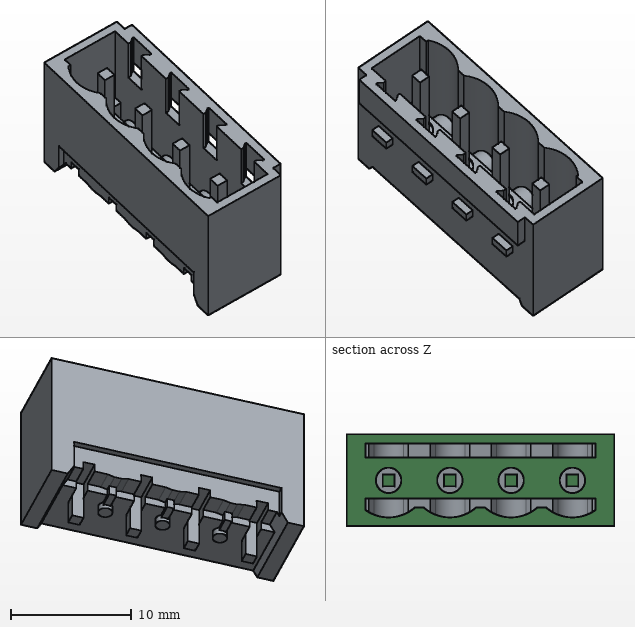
import cadquery as cq
import math


pole_count = 4
pole_pitch = 5.09
pole_xs = [(i - (pole_count - 1) / 2) * pole_pitch for i in range(pole_count)]
gap_xs = [(left + right) / 2 for left, right in zip(pole_xs, pole_xs[1:])]
pole_y = 3.8

length = 22.22
depth = 7.65
height = 12.0
underside_z = 0.62

rim_half_length = 10.07
rim_projection = 0.78
rim_height = 3.09

cavity_half_length = 10.33
cavity_front_y = 1.55
cavity_back_y = 6.85
floor_z = 4.0

trough_half_length = 9.53
island_front_y = 2.29
island_back_y = 5.7
trough_z = 1.78
scallop_half_width = 2.18
scallop_y = 0.73

ridge_half_width = 1.65
crest_half_width = 1.22
flank_angle = math.radians(57)

slot_mouth_half = 0.89
slot_root_half = 1.2
slot_neck_y = 7.09
slot_shoulder_y = 7.49
slot_bottom_z = 7.9

lug_width = 2 * slot_mouth_half
lug_projection = 0.69
lug_bottom_z = 5.95
lug_top_z = 6.75

recess_half_length = 9.13
recess_depth = 0.53
recess_top_z = 3.55
step_z = 1.33
sag_z = 1.2
sag_outer_half = 0.9
rib_width = 0.62

leg_foot_half = 9.69
leg_top_half = 8.9

rib_front_y = 1.78
rib_bottom_z = 0.33
foot_radius = 0.6
foot_pitch = 5.05
foot_count = pole_count - 1
foot_xs = [(i - (foot_count - 1) / 2) * foot_pitch for i in range(foot_count)]

pin_width = 1.0
pin_top_z = 11.05
pin_bottom_z = -1.5
pin_notch_top_z = 2.07
pin_recess_radius = 1.05
pin_recess_depth = 0.22


def box(x0, x1, y0, y1, z0, z1):
    """Axis-aligned block between two opposite corners."""
    return cq.Workplane("XY").box(x1 - x0, y1 - y0, z1 - z0, centered=False).translate((x0, y0, z0))


def extrude_along_y(outline, y0, y1):
    """Extrude an XZ outline from y0 to y1."""
    return outline.extrude(y0 - y1).translate((0, y0, 0))


def make_shell():
    shell = box(-length / 2, length / 2, 0, depth, 0, height)
    rim = box(-rim_half_length, rim_half_length, cavity_back_y, depth + rim_projection,
              height - rim_height, height)
    cavity = box(-cavity_half_length, cavity_half_length, cavity_front_y, cavity_back_y, floor_z, height)
    return shell.union(rim).cut(cavity)


def make_scallop(x):
    """Round bay in the front wall, running from the trough up to the top."""
    return (
        cq.Workplane("XY", origin=(0, 0, trough_z))
        .moveTo(x - scallop_half_width, cavity_front_y)
        .threePointArc((x, scallop_y), (x + scallop_half_width, cavity_front_y))
        .close()
        .extrude(height - trough_z)
    )


def make_ridge(x):
    flank_rise = (ridge_half_width - crest_half_width) * math.tan(flank_angle)
    crest_rise = crest_half_width * math.tan(flank_angle / 2)
    shoulder_z = trough_z + flank_rise
    outline = (
        cq.Workplane("XZ")
        .moveTo(x - ridge_half_width, trough_z)
        .lineTo(x - crest_half_width, shoulder_z)
        .threePointArc((x, shoulder_z + crest_rise), (x + crest_half_width, shoulder_z))
        .lineTo(x + ridge_half_width, trough_z)
        .close()
    )
    return extrude_along_y(outline, scallop_y, cavity_back_y)


def make_troughs():
    """Space of both troughs and the scallops, without the ridges."""
    limits = (-trough_half_length, trough_half_length)
    troughs = box(*limits, cavity_front_y, island_front_y, trough_z, floor_z)
    troughs = troughs.union(box(*limits, island_back_y, cavity_back_y, trough_z, floor_z))
    scallops = make_scallop(pole_xs[0])
    for x in pole_xs[1:]:
        scallops = scallops.union(make_scallop(x))
    troughs = troughs.union(scallops.intersect(box(*limits, 0, depth, 0, height)))
    for x in pole_xs:
        troughs = troughs.cut(make_ridge(x))
    return troughs


def make_dovetail_slot(x):
    half_outline = [
        (slot_mouth_half, cavity_back_y),
        (slot_mouth_half, slot_neck_y),
        (slot_root_half, slot_shoulder_y),
        (slot_root_half, depth),
    ]
    right_side = [(x + dx, y) for dx, y in half_outline]
    left_side = [(x - dx, y) for dx, y in reversed(half_outline)]
    return (
        cq.Workplane("XY", origin=(0, 0, slot_bottom_z))
        .polyline(right_side + left_side)
        .close()
        .extrude(height - slot_bottom_z)
    )


def make_leg_space(top_z, y0, y1):
    """Space between the sloped legs, from their bottom up to top_z."""
    top_half = leg_foot_half - (leg_foot_half - leg_top_half) * top_z / step_z
    outline = (
        cq.Workplane("XZ")
        .polyline([(-leg_foot_half, 0), (-top_half, top_z), (top_half, top_z), (leg_foot_half, 0)])
        .close()
    )
    return extrude_along_y(outline, y0, y1)


def make_sag(x):
    """Bulge below the raised underside, midway between two poles."""
    outline = (
        cq.Workplane("XZ")
        .polyline([
            (x - sag_outer_half, step_z),
            (x - rib_width / 2, sag_z),
            (x + rib_width / 2, sag_z),
            (x + sag_outer_half, step_z),
        ])
        .close()
    )
    return extrude_along_y(outline, recess_depth, island_front_y)


def make_foot(x):
    return cq.Workplane("XY").center(x, pole_y).circle(foot_radius).extrude(underside_z)


def make_rib(x):
    return box(x - rib_width / 2, x + rib_width / 2, rib_front_y, pole_y, rib_bottom_z, step_z)


def make_pin(x):
    half = pin_width / 2
    return box(x - half, x + half, pole_y - half, pole_y + half, pin_bottom_z, pin_top_z)


def make_pin_notch(x):
    half = pin_width / 2
    return box(x - half, x + half, 0, pole_y, 0, pin_notch_top_z)


def make_pin_recess(x):
    return (
        cq.Workplane("XY", origin=(x, pole_y, floor_z - pin_recess_depth))
        .circle(pin_recess_radius)
        .extrude(pin_recess_depth)
    )


def make_lug(x):
    return box(x - lug_width / 2, x + lug_width / 2, depth, depth + lug_projection, lug_bottom_z, lug_top_z)


result = make_shell().cut(make_troughs())
result = result.cut(make_leg_space(underside_z, 0, depth))
result = result.cut(make_leg_space(step_z, 0, island_front_y))
result = result.cut(box(-recess_half_length, recess_half_length, 0, recess_depth, 0, recess_top_z))

for gap_x in gap_xs:
    result = result.union(make_sag(gap_x)).union(make_rib(gap_x))

for foot_x in foot_xs:
    result = result.union(make_foot(foot_x))

for pole_x in pole_xs:
    result = result.cut(make_dovetail_slot(pole_x))
    result = result.cut(make_pin_notch(pole_x)).cut(make_pin_recess(pole_x))
    result = result.union(make_pin(pole_x)).union(make_lug(pole_x))